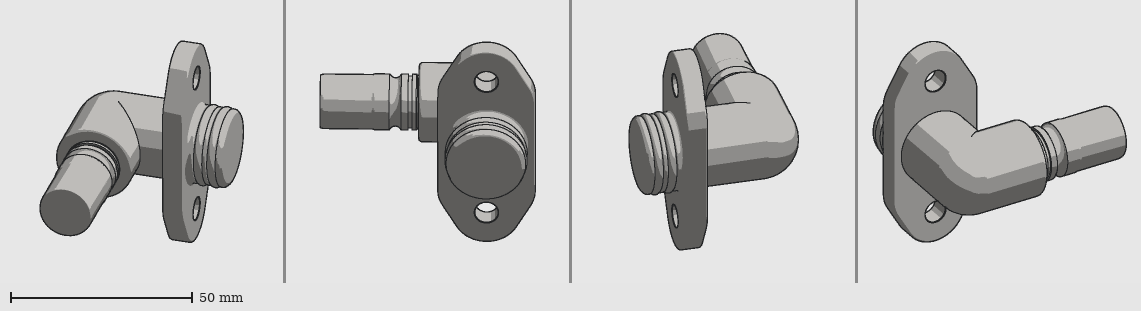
import cadquery as cq
import math

tube_radius = 11.0
outlet_face = 19.05
outlet_fillet = 1.05

flange_start = 18.05
flange_thickness = 5.9
flange_half_width = 13.5
flange_half_height = 30.5
flange_corner_radius = 9.5
flange_slope = math.radians(60)
flange_edge_fillet = 0.5
hole_offset = flange_half_height - flange_corner_radius
hole_diameter = 6.4
hole_chamfer = 0.2

spigot_start = flange_start + flange_thickness
spigot_end = 34.5
spigot_radius = tube_radius
spigot_root_fillet = 1.0
spigot_end_chamfer = 1.0
spigot_end_blend = 1.0
first_groove_start = 26.0
groove_width = 2.6
groove_spacing = 3.85
groove_edge_fillet = 0.35
groove_floor_radius = 9.15
seal_section_radius = 1.2
seal_outer_radius = 11.35

plug_radius = 7.75
plug_neck_radius = 7.45
plug_collar_start = 19.4
plug_collar_chamfer = 0.3
plug_groove_start = 20.85
plug_groove_end = 21.95
plug_groove_radius = 7.2
waist_center = 25.5
waist_half_width = 1.45
waist_depth = 1.05
waist_lip = 0.2
shoulder_end = 31.25
shoulder_blend = 0.6
barrel_radius = 7.55
barrel_start = 31.8
barrel_end = 46.25
barrel_taper_length = 0.9
barrel_taper_depth = 0.25
barrel_taper_blend = 1.2
barrel_end_fillet = 0.2


def cylinder(radius, start, end):
    """Cylinder about Z between two stations."""
    return cq.Workplane("XY").workplane(offset=start).circle(radius).extrude(end - start)


def along_plus_x(shape):
    """Turn a shape built along +Z so that it runs along +X."""
    return shape.rotate((0, 0, 0), (0, 1, 0), 90)


def along_minus_y(shape):
    """Turn a shape built along +Z so that it runs along -Y."""
    return shape.rotate((0, 0, 0), (1, 0, 0), 90)


def make_elbow():
    ball = cq.Workplane("XY").sphere(tube_radius)
    inlet = along_plus_x(cylinder(tube_radius, 0, spigot_start - flange_thickness / 2))
    outlet = cylinder(tube_radius, 0, outlet_face).faces(">Z").edges().fillet(outlet_fillet)
    return inlet.union(along_minus_y(outlet)).union(ball)


def make_flange():
    apex = hole_offset + flange_corner_radius / math.cos(flange_slope)
    shoulder = apex - flange_half_width * math.tan(flange_slope)
    outline = [
        (0, apex),
        (flange_half_width, shoulder),
        (flange_half_width, -shoulder),
        (0, -apex),
        (-flange_half_width, -shoulder),
        (-flange_half_width, shoulder),
    ]
    plate = (
        cq.Workplane("YZ", origin=(flange_start, 0, 0))
        .polyline(outline)
        .close()
        .extrude(flange_thickness)
        .edges("|X")
        .fillet(flange_corner_radius)
        .faces("<X or >X")
        .edges()
        .fillet(flange_edge_fillet)
    )
    plate = (
        plate.faces("<X")
        .workplane(origin=(flange_start, 0, 0))
        .pushPoints([(0, hole_offset), (0, -hole_offset)])
        .hole(hole_diameter)
    )
    hole_rims = plate.faces("<X or >X").edges(cq.selectors.RadiusNthSelector(0))
    return hole_rims.chamfer(hole_chamfer)


def make_root_collar():
    """First spigot collar, blended into the flange face."""
    blend_end = spigot_start + spigot_root_fillet
    blend_radius = spigot_radius + spigot_root_fillet
    blend_offset = spigot_root_fillet * (1 - math.sqrt(0.5))
    return (
        cq.Workplane("XZ")
        .moveTo(0, spigot_start)
        .lineTo(blend_radius, spigot_start)
        .threePointArc(
            (spigot_radius + blend_offset, spigot_start + blend_offset),
            (spigot_radius, blend_end),
        )
        .lineTo(spigot_radius, first_groove_start)
        .lineTo(0, first_groove_start)
        .close()
        .revolve(360, (0, 0, 0), (0, 1, 0))
        .faces(">Z")
        .edges()
        .fillet(groove_edge_fillet)
    )


def make_end_collar(start):
    """Last spigot collar, with a rounded-off chamfer at the free end."""
    collar = cylinder(spigot_radius, start, spigot_end)
    collar = collar.faces("<Z").edges().fillet(groove_edge_fillet)
    collar = collar.faces(">Z").edges().chamfer(spigot_end_chamfer)
    return collar.faces("%CONE").edges("%CIRCLE").fillet(spigot_end_blend)


def make_seal(center):
    path_radius = seal_outer_radius - seal_section_radius
    return (
        cq.Workplane("XZ")
        .center(path_radius, center)
        .circle(seal_section_radius)
        .revolve(360, (-path_radius, 0, 0), (-path_radius, 1, 0))
    )


def make_spigot():
    second_groove_start = first_groove_start + groove_spacing
    middle_collar = cylinder(spigot_radius, first_groove_start + groove_width, second_groove_start)
    middle_collar = middle_collar.faces("<Z or >Z").edges().fillet(groove_edge_fillet)
    end_collar_start = second_groove_start + groove_width

    spigot = cylinder(groove_floor_radius, spigot_start, end_collar_start)
    spigot = spigot.union(make_root_collar())
    spigot = spigot.union(middle_collar)
    spigot = spigot.union(make_end_collar(end_collar_start))
    for groove_start in (first_groove_start, second_groove_start):
        spigot = spigot.union(make_seal(groove_start + groove_width / 2))
    return along_plus_x(spigot)


def make_plug_neck():
    """Neck, grooved collar and waist, up to the start of the shoulder."""
    waist_start = waist_center - waist_half_width
    waist_end = waist_center + waist_half_width
    lip_radius = plug_radius - waist_lip
    profile = (
        cq.Workplane("XZ")
        .moveTo(0, outlet_face)
        .lineTo(plug_neck_radius, outlet_face)
        .lineTo(plug_neck_radius, plug_collar_start)
        .lineTo(plug_radius, plug_collar_start + plug_collar_chamfer)
        .lineTo(plug_radius, plug_groove_start)
        .lineTo(plug_groove_radius, plug_groove_start)
        .lineTo(plug_groove_radius, plug_groove_end)
        .lineTo(plug_radius, plug_groove_end)
        .lineTo(plug_radius, waist_start - waist_lip)
        .lineTo(lip_radius, waist_start)
        .threePointArc((plug_radius - waist_depth, waist_center), (lip_radius, waist_end))
        .lineTo(plug_radius, waist_end + waist_lip)
        .lineTo(0, waist_end + waist_lip)
        .close()
    )
    return profile.revolve(360, (0, 0, 0), (0, 1, 0))


def make_plug_barrel():
    """Shoulder that eases down to the plain barrel, with a tapered and rounded tip."""
    shoulder_start = waist_center + waist_half_width + waist_lip
    profile = (
        cq.Workplane("XZ")
        .moveTo(0, shoulder_start)
        .lineTo(plug_radius, shoulder_start)
        .lineTo(plug_radius, shoulder_end)
        .lineTo(barrel_radius, barrel_start)
        .lineTo(barrel_radius, barrel_end - barrel_taper_length)
        .lineTo(barrel_radius - barrel_taper_depth, barrel_end)
        .lineTo(0, barrel_end)
        .close()
    )
    barrel = profile.revolve(360, (0, 0, 0), (0, 1, 0))
    barrel = barrel.faces("%CONE").faces("<Z").edges("%CIRCLE").fillet(shoulder_blend)
    barrel = barrel.faces("%CONE").faces(">Z").edges("%CIRCLE").edges("<Z").fillet(barrel_taper_blend)
    return barrel.faces(">Z").edges().fillet(barrel_end_fillet)


def make_plug():
    return along_minus_y(make_plug_neck().union(make_plug_barrel()))


result = make_elbow().union(make_flange()).union(make_spigot()).union(make_plug())